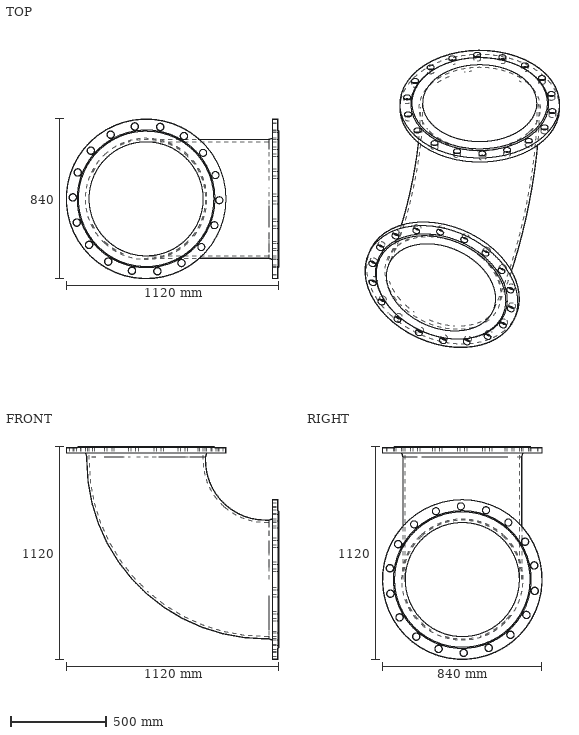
import cadquery as cq

pipe_diameter = 626.0
bore_diameter = 600.0

flange_diameter = 840.0
flange_thickness = 29.0
raised_face_diameter = 725.0
raised_face_tip_diameter = 712.0
raised_face_height = 7.0
hub_diameter = 638.0
hub_length = 19.0
collar_length = 18.0

bolt_count = 18
bolt_circle_diameter = 770.0
bolt_hole_diameter = 37.0
bolt_angle_offset = -1.1

overall_size = 1120.0
end_face = overall_size - flange_diameter / 2
raised_face_base = end_face - raised_face_height
flange_back = raised_face_base - flange_thickness
hub_base = flange_back - hub_length
collar_base = hub_base - collar_length

bend_radius = collar_base


def make_bend(diameter):
    """Quarter-circle bend running from the vertical end to the horizontal end."""
    return (
        cq.Workplane("XY", origin=(0, 0, collar_base))
        .circle(diameter / 2)
        .revolve(90, (bend_radius, 11), (bend_radius, 0))
    )


def make_bolt_holes():
    """Through holes for the bolts of the upper flange."""
    return (
        cq.Workplane("XY", origin=(0, 0, flange_back))
        .polarArray(bolt_circle_diameter / 2, bolt_angle_offset, 360, bolt_count)
        .circle(bolt_hole_diameter / 2)
        .extrude(flange_thickness)
    )


def make_upper_end():
    """Weld-neck flange: collar, flared hub, disc and tapered raised sealing face."""
    profile = [
        (bore_diameter / 2, collar_base),
        (pipe_diameter / 2, collar_base),
        (pipe_diameter / 2, hub_base),
        (hub_diameter / 2, flange_back),
        (flange_diameter / 2, flange_back),
        (flange_diameter / 2, raised_face_base),
        (raised_face_diameter / 2, raised_face_base),
        (raised_face_tip_diameter / 2, end_face),
        (bore_diameter / 2, end_face),
    ]
    body = cq.Workplane("XZ").polyline(profile).close().revolve(360, (0, 0), (0, 1))
    return body.cut(make_bolt_holes())


bend_pipe = make_bend(pipe_diameter).cut(make_bend(bore_diameter))
upper_end = make_upper_end()

side_end = upper_end.mirror(cq.Vector(1, 0, -1))

result = bend_pipe.union(upper_end).union(side_end)